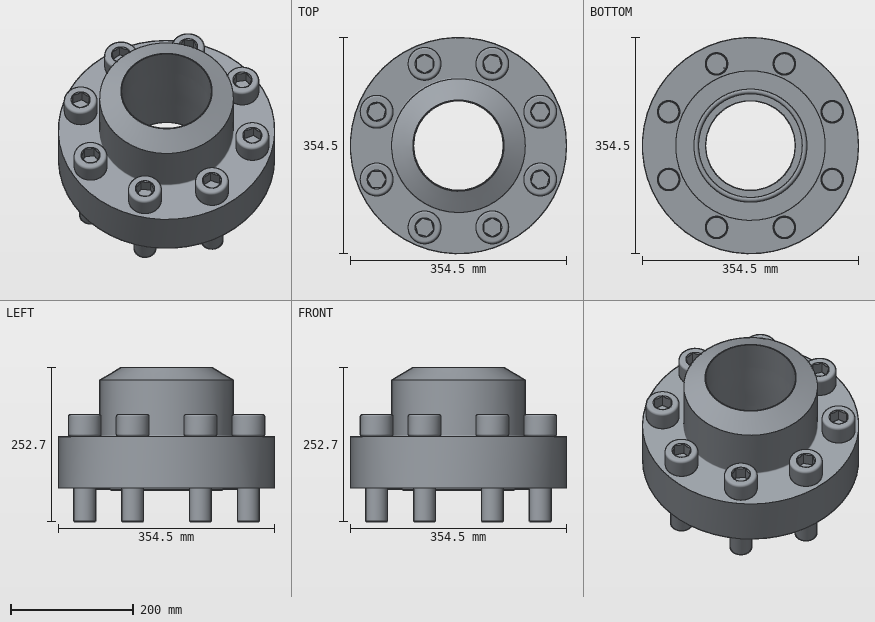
import cadquery as cq
import math

FLANGE_DIAMETER = 354.5
FLANGE_THICKNESS = 84.5
RAISED_FACE_DIAMETER = 245.0
RAISED_FACE_HEIGHT = 2.0
NECK_DIAMETER = 219.2
NECK_TOP_Z = 197.5
NECK_BEVEL_HEIGHT = 20.5
NECK_LIP_DIAMETER = 149.5
NECK_ROOT_RADIUS = 2.0

NECK_BORE_DIAMETER = 147.2
FLANGE_BORE_DIAMETER = 147.0
BORE_TAPER_TOP_Z = 142.5
BORE_TAPER_BOTTOM_Z = 50.5

GROOVE_INNER_DIAMETER = 170.0
GROOVE_OUTER_DIAMETER = 185.5
RING_SECTION_DIAMETER = (GROOVE_OUTER_DIAMETER - GROOVE_INNER_DIAMETER) / 2
RING_CENTRE_DIAMETER = (GROOVE_OUTER_DIAMETER + GROOVE_INNER_DIAMETER) / 2
RING_PROTRUSION = 2.0
GROOVE_DEPTH = RING_SECTION_DIAMETER - RING_PROTRUSION

SCREW_COUNT = 8
SCREW_PITCH_ANGLE = 360 / SCREW_COUNT
BOLT_CIRCLE_DIAMETER = 290.0
SHANK_DIAMETER = 36.0
SHANK_LENGTH = 139.7
SHANK_END_CHAMFER = 1.5
SCREW_HOLE_DIAMETER = 37.0
HEAD_DIAMETER = 54.0
HEAD_HEIGHT = SHANK_DIAMETER
HEAD_EDGE_RADIUS = 4.0
SOCKET_CORNER_DIAMETER = 31.2
SOCKET_FLAT_WIDTH = SOCKET_CORNER_DIAMETER * math.cos(math.radians(30))
SOCKET_MOUTH_DEPTH = (SOCKET_CORNER_DIAMETER - SOCKET_FLAT_WIDTH) / 2
SOCKET_DEPTH = 23.0

FIRST_SCREW_ANGLE = math.radians(SCREW_PITCH_ANGLE / 2)
FIRST_SCREW_X = BOLT_CIRCLE_DIAMETER / 2 * math.cos(FIRST_SCREW_ANGLE)
FIRST_SCREW_Y = BOLT_CIRCLE_DIAMETER / 2 * math.sin(FIRST_SCREW_ANGLE)


def make_turned_body():
    """Revolve the flange, neck and bore from one half section."""
    root_start = NECK_DIAMETER / 2 + NECK_ROOT_RADIUS
    root_arc_offset = NECK_ROOT_RADIUS * (1 - math.sqrt(0.5))
    return (
        cq.Workplane("XZ")
        .moveTo(FLANGE_BORE_DIAMETER / 2, -RAISED_FACE_HEIGHT)
        .lineTo(RAISED_FACE_DIAMETER / 2, -RAISED_FACE_HEIGHT)
        .lineTo(RAISED_FACE_DIAMETER / 2, 0)
        .lineTo(FLANGE_DIAMETER / 2, 0)
        .lineTo(FLANGE_DIAMETER / 2, FLANGE_THICKNESS)
        .lineTo(root_start, FLANGE_THICKNESS)
        .threePointArc(
            (NECK_DIAMETER / 2 + root_arc_offset, FLANGE_THICKNESS + root_arc_offset),
            (NECK_DIAMETER / 2, FLANGE_THICKNESS + NECK_ROOT_RADIUS),
        )
        .lineTo(NECK_DIAMETER / 2, NECK_TOP_Z - NECK_BEVEL_HEIGHT)
        .lineTo(NECK_LIP_DIAMETER / 2, NECK_TOP_Z)
        .lineTo(NECK_BORE_DIAMETER / 2, NECK_TOP_Z)
        .lineTo(NECK_BORE_DIAMETER / 2, BORE_TAPER_TOP_Z)
        .lineTo(FLANGE_BORE_DIAMETER / 2, BORE_TAPER_BOTTOM_Z)
        .close()
        .revolve(360, (0, 0, 0), (0, 1, 0))
    )


def make_ring_groove():
    return (
        cq.Workplane("XY")
        .workplane(offset=-RAISED_FACE_HEIGHT)
        .circle(GROOVE_OUTER_DIAMETER / 2)
        .circle(GROOVE_INNER_DIAMETER / 2)
        .extrude(GROOVE_DEPTH)
    )


def make_screw_holes():
    return (
        cq.Workplane("XY")
        .polarArray(BOLT_CIRCLE_DIAMETER / 2, SCREW_PITCH_ANGLE / 2, 360, SCREW_COUNT)
        .circle(SCREW_HOLE_DIAMETER / 2)
        .extrude(FLANGE_THICKNESS)
    )


def make_flange():
    return make_turned_body().cut(make_ring_groove()).cut(make_screw_holes())


def make_sealing_ring():
    """O-ring standing on the groove floor and projecting below the raised face."""
    centre_z = -RAISED_FACE_HEIGHT - RING_PROTRUSION + RING_SECTION_DIAMETER / 2
    return (
        cq.Workplane("XZ")
        .center(RING_CENTRE_DIAMETER / 2, centre_z)
        .circle(RING_SECTION_DIAMETER / 2)
        .revolve(360, (-RING_CENTRE_DIAMETER / 2, 0, 0), (-RING_CENTRE_DIAMETER / 2, 1, 0))
    )


def make_socket():
    """Hexagon socket with a conical mouth, cut downwards from the top of the head."""
    hexagon = (
        cq.Workplane("XY")
        .workplane(offset=HEAD_HEIGHT - SOCKET_DEPTH)
        .polygon(6, SOCKET_CORNER_DIAMETER)
        .extrude(SOCKET_DEPTH)
    )
    mouth = (
        cq.Workplane("XY")
        .workplane(offset=HEAD_HEIGHT)
        .circle(SOCKET_CORNER_DIAMETER / 2)
        .workplane(offset=-SOCKET_MOUTH_DEPTH)
        .circle(SOCKET_FLAT_WIDTH / 2)
        .loft()
    )
    return hexagon.union(mouth)


def make_screw():
    """Cap screw on the Z axis with its head seat at Z = 0."""
    head = (
        cq.Workplane("XY")
        .circle(HEAD_DIAMETER / 2)
        .extrude(HEAD_HEIGHT)
        .edges()
        .fillet(HEAD_EDGE_RADIUS)
    )
    shank = (
        cq.Workplane("XY")
        .circle(SHANK_DIAMETER / 2)
        .extrude(-SHANK_LENGTH)
        .faces("<Z")
        .chamfer(SHANK_END_CHAMFER)
    )
    return head.union(shank).cut(make_socket())


def make_screws():
    """Place the screws around the bolt circle, each one turned with the pattern."""
    first_screw = make_screw().translate((FIRST_SCREW_X, FIRST_SCREW_Y, FLANGE_THICKNESS))
    screws = []
    for index in range(SCREW_COUNT):
        screw = first_screw.rotate((0, 0, 0), (0, 0, 1), index * SCREW_PITCH_ANGLE)
        screws.append(screw.solids().val())
    return screws


flange = make_flange()
sealing_ring = make_sealing_ring()
screws = make_screws()

result = cq.Compound.makeCompound([flange.solids().val(), sealing_ring.val(), *screws])